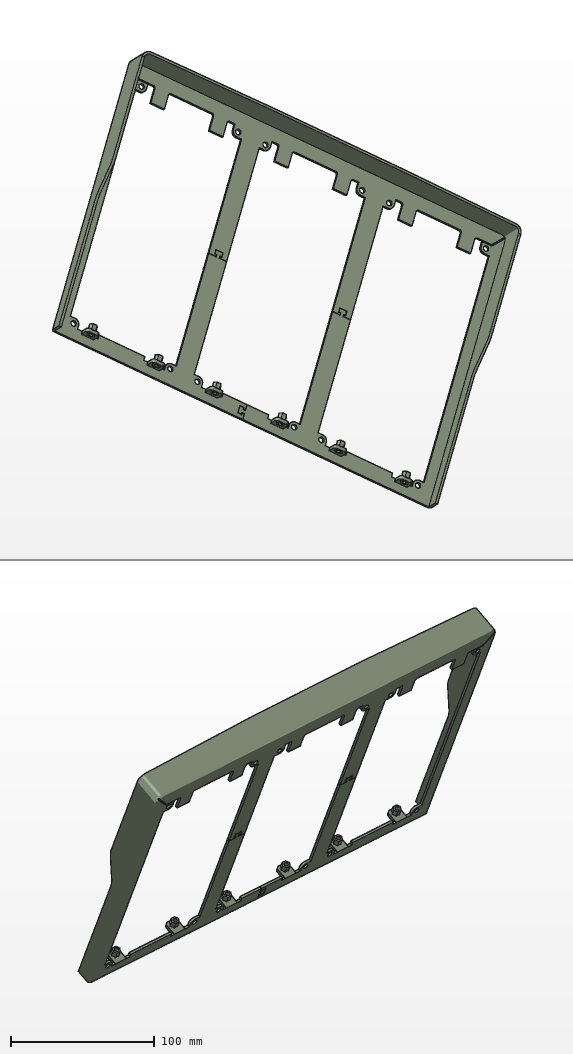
import cadquery as cq
import math

turn = 33.3
tilt = 20.0

opening_count = 3
opening_width = 86.5
bar_width = 14.5
side_rail_width = 10.3
top_rail_height = 12.5
bottom_rail_height = 9.0
opening_pitch = opening_width + bar_width
opening_xs = [opening_pitch * (i - (opening_count - 1) / 2) for i in range(opening_count)]
bar_xs = [x + opening_pitch / 2 for x in opening_xs[:-1]]

frame_width = opening_count * opening_pitch - bar_width + 2 * side_rail_width
frame_height = 218.0
frame_depth = 23.0
crest_rise = 2.56
plate_thickness = 2.0
wall_thickness = 2.0
corner_radius = 6.0
inner_corner_radius = corner_radius - wall_thickness
back_edge_radius = 2.5
half_width = frame_width / 2
half_height = frame_height / 2
opening_top = half_height - top_rail_height
opening_bottom = bottom_rail_height - half_height

shallow_depth = 12.1
slope_top = 19.0
slope_bottom = -4.9
slope_radius = 16.2

raised_width = 37.3
raised_height = 3.0

tab_offset = 23.9
tab_width = 11.0
tab_length = 13.0
tab_root_radius = 1.5

ear_offset = 39.5
ear_radius = 4.0
ear_hole_diameter = 4.0
top_ear_y = 92.0
bottom_ear_y = -97.5

bracket_offset = 26.7
bracket_width = 10.0
bracket_thickness = 2.7
bracket_height = 9.0
bracket_corner_radius = 2.7
bracket_y = -101.2
nut_height = 5.0
nut_across_flats = 5.5
nut_corner_diameter = nut_across_flats / math.cos(math.pi / 6)
nut_bore = 3.0
nut_length = 7.5

seam_gap = 0.3
bar_seam_y = -3.2
rail_seam_x = 0.8
key_neck_width = 2.7
key_head_width = 5.7
key_neck_length = 1.5
key_length = 4.9
mitre_gap = 0.8


def block(x_range, y_range, z_range):
    (x0, x1), (y0, y1), (z0, z1) = x_range, y_range, z_range
    return cq.Workplane("XY").box(x1 - x0, y1 - y0, z1 - z0, centered=False).translate((x0, y0, z0))


def plate_block(x_range, y_range):
    """Block through the full plate thickness."""
    return block(x_range, y_range, (0, plate_thickness))


def make_shell():
    """Plate with a wall along the top and both sides, open at the bottom and the front."""
    crest_depth = frame_depth + crest_rise
    shell = (
        cq.Workplane("XZ", origin=(0, half_height, 0))
        .moveTo(-half_width, 0)
        .lineTo(-half_width, frame_depth)
        .threePointArc((0, crest_depth), (half_width, frame_depth))
        .lineTo(half_width, 0)
        .close()
        .extrude(frame_height)
    )
    shell = shell.edges("|Z and >Y").fillet(corner_radius)
    shell = shell.faces("<Z").edges("not <Y").fillet(back_edge_radius)
    inner_half = half_width - wall_thickness
    inner_top = half_height - wall_thickness
    cavity = block((-inner_half, inner_half), (-half_height, inner_top), (plate_thickness, crest_depth))
    return shell.cut(cavity.edges("|Z and >Y").fillet(inner_corner_radius))


def make_slope_cut():
    """Space in front of the side walls, reaching deeper over their lower part."""
    slope = (slope_top - slope_bottom, frame_depth - shallow_depth)
    bend = slope_radius * math.tan(math.atan2(slope[1], slope[0]) / 2)
    length = math.hypot(*slope)
    bend_y = bend * slope[0] / length
    bend_z = bend * slope[1] / length
    return (
        cq.Workplane("YZ", origin=(-half_width, 0, 0))
        .moveTo(-half_height, shallow_depth)
        .lineTo(slope_bottom - bend, shallow_depth)
        .tangentArcPoint((slope_bottom + bend_y, shallow_depth + bend_z), relative=False)
        .lineTo(slope_top - bend_y, frame_depth - bend_z)
        .tangentArcPoint((slope_top + bend, frame_depth), relative=False)
        .lineTo(half_height - corner_radius, frame_depth)
        .lineTo(half_height - corner_radius, frame_depth + crest_rise)
        .lineTo(-half_height, frame_depth + crest_rise)
        .close()
        .extrude(frame_width)
    )


def make_opening(center_x):
    """Window through the plate, leaving the raised middle of the bottom rail."""
    half = opening_width / 2
    opening = plate_block((center_x - half, center_x + half), (opening_bottom, opening_top))
    raised_half = raised_width / 2
    raised_top = opening_bottom + raised_height
    return opening.cut(
        plate_block((center_x - raised_half, center_x + raised_half), (opening_bottom, raised_top))
    )


def make_tab(center_x):
    """Tab whose root flares into the rail above it with a round on both sides."""
    half = tab_width / 2
    r = tab_root_radius
    return (
        cq.Workplane("XY")
        .moveTo(center_x - half - r, opening_top)
        .radiusArc((center_x - half, opening_top - r), r)
        .lineTo(center_x - half, opening_top - tab_length)
        .lineTo(center_x + half, opening_top - tab_length)
        .lineTo(center_x + half, opening_top - r)
        .radiusArc((center_x + half + r, opening_top), r)
        .close()
        .extrude(plate_thickness)
    )


def make_ear(opening_x, side, ear_y, rail_y):
    """Ear filling one corner of an opening; side is -1 for its left and 1 for its right edge."""
    ear_x = opening_x + side * ear_offset
    edge_x = opening_x + side * opening_width / 2
    away = math.copysign(ear_radius, ear_y - rail_y)
    free_x = ear_x - side * ear_radius
    ear = plate_block(sorted((free_x, edge_x)), sorted((ear_y + away, rail_y)))
    free_corner = cq.selectors.NearestToPointSelector((free_x, ear_y + away, plate_thickness / 2))
    return ear.edges(free_corner).fillet(ear_radius)


def make_ear_hole(opening_x, side, ear_y):
    ear_x = opening_x + side * ear_offset
    return cq.Workplane("XY").center(ear_x, ear_y).circle(ear_hole_diameter / 2).extrude(plate_thickness)


def hole_plane(center_x):
    """Plane of a bracket's lower face, centred on its hole and facing up the frame."""
    origin = (center_x, bracket_y - bracket_thickness / 2, plate_thickness + nut_height)
    return cq.Plane(origin=origin, xDir=(1, 0, 0), normal=(0, 1, 0))


def make_hexagon(center_x, length):
    """Solid hexagonal bar from the bracket's lower face, with two flats facing front and back."""
    return cq.Workplane(hole_plane(center_x)).polygon(6, nut_corner_diameter).extrude(length)


def make_bracket(center_x):
    """Upright lug with two rounded corners and a hexagonal hole for a nut."""
    half = bracket_width / 2
    half_thickness = bracket_thickness / 2
    bracket = block(
        (center_x - half, center_x + half),
        (bracket_y - half_thickness, bracket_y + half_thickness),
        (0, plate_thickness + bracket_height),
    )
    bracket = bracket.edges("|Y and >Z").fillet(bracket_corner_radius)
    return bracket.cut(make_hexagon(center_x, bracket_thickness))


def make_nut(center_x):
    """Nut flush with the bracket's lower face, standing out of its upper face."""
    bore = cq.Workplane(hole_plane(center_x)).circle(nut_bore / 2).extrude(nut_length)
    return make_hexagon(center_x, nut_length).cut(bore)


def key_outline(span, offset):
    """Points of a T-shaped key across a strip of the given span, moved outwards by the offset."""
    neck = key_neck_width / 2 + offset
    head = key_head_width / 2 + offset
    neck_end = key_neck_length - offset
    tip = key_length + offset
    right = [(span / 2, offset), (neck, offset), (neck, neck_end), (head, neck_end), (head, tip)]
    return right + [(-x, y) for x, y in reversed(right)]


def make_key_seam(span):
    """Thin slit along the key outline, running along X with the key pointing to +Y."""
    outer = key_outline(span, seam_gap / 2)
    inner = key_outline(span, -seam_gap / 2)
    return cq.Workplane("XY").polyline(outer + inner[::-1]).close().extrude(plate_thickness)


def make_mitre_seam(side):
    """Slit from a top corner of the frame to the opening's corner, then along the top of the ear there."""
    corner_x = half_width - side_rail_width
    ear_end_x = opening_xs[-1] + ear_offset - ear_radius
    rise = math.atan2(top_rail_height, side_rail_width)
    middle = ((corner_x + half_width) / 2, (opening_top + half_height) / 2, 0)
    diagonal = cq.Workplane("XY").rect(math.hypot(side_rail_width, top_rail_height), mitre_gap)
    diagonal = diagonal.extrude(plate_thickness)
    diagonal = diagonal.rotate((0, 0, 0), (0, 0, 1), math.degrees(rise)).translate(middle)
    slit = diagonal.union(plate_block((ear_end_x, corner_x), (opening_top - mitre_gap, opening_top)))
    return slit if side > 0 else slit.mirror("YZ")


def make_frame():
    frame = make_shell().cut(make_slope_cut())
    for opening_x in opening_xs:
        frame = frame.cut(make_opening(opening_x))
        for side in (-1, 1):
            frame = frame.union(make_tab(opening_x + side * tab_offset))
            frame = frame.union(make_bracket(opening_x + side * bracket_offset))
            for ear_y, rail_y in ((top_ear_y, opening_top), (bottom_ear_y, opening_bottom)):
                frame = frame.union(make_ear(opening_x, side, ear_y, rail_y))
                frame = frame.cut(make_ear_hole(opening_x, side, ear_y))
    for bar_x in bar_xs:
        frame = frame.cut(make_key_seam(bar_width).translate((bar_x, bar_seam_y, 0)))
    rail_span = bottom_rail_height + raised_height
    rail_seam = make_key_seam(rail_span).rotate((0, 0, 0), (0, 0, 1), 90)
    frame = frame.cut(rail_seam.translate((rail_seam_x, rail_span / 2 - half_height, 0)))
    for side in (-1, 1):
        frame = frame.cut(make_mitre_seam(side))
    return frame


def set_attitude(body):
    turned = body.rotate((0, 0, 0), (0, 1, 0), turn)
    return turned.rotate((0, 0, 0), (1, 0, 0), tilt)


frame = set_attitude(make_frame())
nuts = [
    set_attitude(make_nut(opening_x + side * bracket_offset))
    for opening_x in opening_xs
    for side in (-1, 1)
]

result = cq.Compound.makeCompound([frame.val(), *[nut.val() for nut in nuts]])